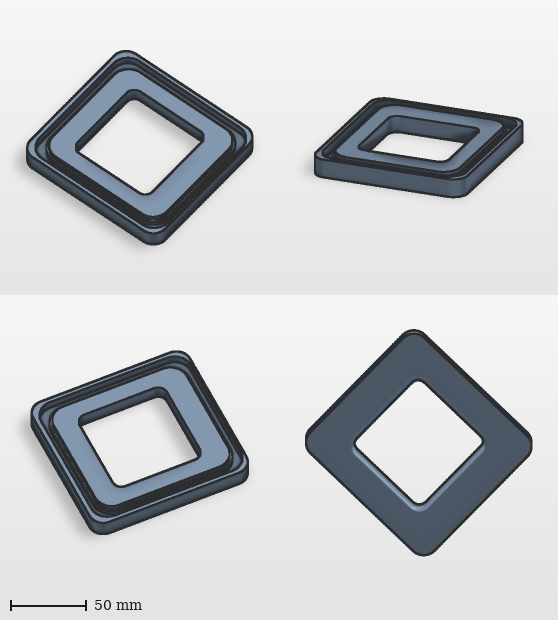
import cadquery as cq

body_length = 114.3
body_width = 107.95
body_height = 12.7
body_corner_radius = 9.9

channel_shift = 0.9
channel_length = 108.9
channel_width = 101.6
channel_corner_radius = 11.7
channel_depth = 6.35

ledge_width = 1.905
island_top_length = 96.84
island_top_width = 88.3
island_top_corner_radius = 12.0
ledge_depth = 3.175
island_base_length = island_top_length + 2 * ledge_width
island_base_width = island_top_width + 2 * ledge_width
island_base_corner_radius = island_top_corner_radius + ledge_width

window_length = 63.5
window_width = 64.1
window_corner_radius = 6.35
window_bottom_fillet = 3.175


def rounded_block(length, width, corner_radius, bottom, top, shift=0.0):
    """Block with rounded vertical corners between two heights."""
    return (
        cq.Workplane("XY", origin=(shift, 0, bottom))
        .rect(length, width)
        .extrude(top - bottom)
        .edges("|Z")
        .fillet(corner_radius)
    )


def make_body():
    """Frame body with the window through it and its lower edge rounded."""
    body = rounded_block(body_length, body_width, body_corner_radius, 0, body_height)
    window = rounded_block(window_length, window_width, window_corner_radius, 0, body_height)
    region_length = (window_length + body_length) / 2
    region_width = (window_width + body_width) / 2
    window_bottom_edges = cq.selectors.BoxSelector(
        (-region_length / 2, -region_width / 2, -window_bottom_fillet),
        (region_length / 2, region_width / 2, window_bottom_fillet),
    )
    return body.cut(window).edges(window_bottom_edges).fillet(window_bottom_fillet)


def make_channel():
    """Material removed around the stepped island."""
    channel_floor = body_height - channel_depth
    ledge_height = body_height - ledge_depth
    channel = rounded_block(
        channel_length, channel_width, channel_corner_radius,
        channel_floor, body_height, channel_shift,
    )
    island_base = rounded_block(
        island_base_length, island_base_width, island_base_corner_radius,
        channel_floor, ledge_height, channel_shift,
    )
    island_top = rounded_block(
        island_top_length, island_top_width, island_top_corner_radius,
        ledge_height, body_height, channel_shift,
    )
    return channel.cut(island_base).cut(island_top)


result = make_body().cut(make_channel())